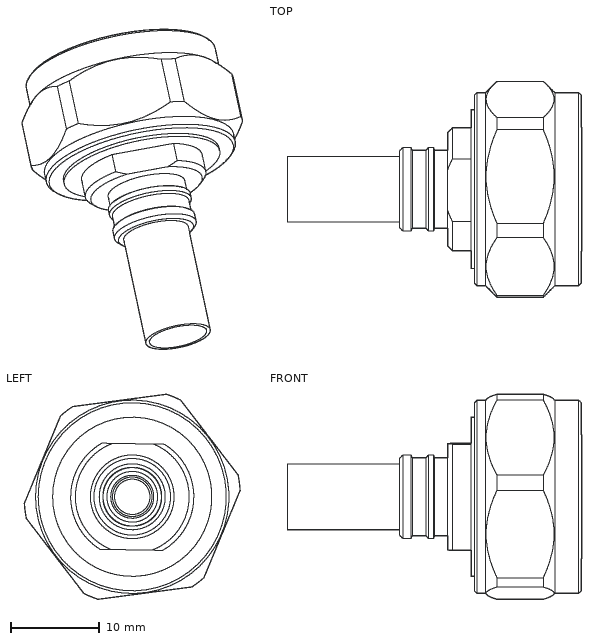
import cadquery as cq
import math

total_length = 33.4

neck_start = 12.7

tube_radius = 3.75
bore_radius = 3.3
tube_bore_depth = 4.0
inner_bore_radius = 3.37
bore_depth = neck_start

tip_radius = 2.87
tip_height = 1.0
tip_chamfer = 0.45
tip_hole_radius = 2.0
tip_hole_chamfer = 0.25

neck_radius = 4.45
ring_radius = 4.75
end_ring_chamfer = 0.4
end_ring_width = 1.47
end_ring_back_slope = 0.17
middle_ring_start = 15.73
middle_ring_width = 0.95
middle_ring_front_slope = 0.25
middle_ring_back_slope = 0.1

boss_start = 18.17
boss_radius = 6.98
boss_chamfer = 0.55
boss_flat_distance = 12.02
boss_tilt = 1.0

flange_start = 20.8
flange_radius = 9.02

nut_start = 21.18
nut_end = 33.3
collar_radius = 10.95
collar_chamfer = 0.3
hex_sides = 6
hex_start = 22.45
hex_end = 30.3
hex_across_flats = 22.05
hex_corner_radius = 12.25
hex_tilt = -7.5

core_radius = 7.0


def cylinder(start, end, radius):
    """Solid cylinder on the part axis between two X positions."""
    return cq.Workplane("YZ", origin=(start, 0, 0)).circle(radius).extrude(end - start)


def revolved(profile):
    """Solid turned about the X axis from (position, radius) points."""
    return cq.Workplane("XY").polyline(profile).close().revolve(360, (0, 0, 0), (1, 0, 0))


def make_ring(start, width, front_slope, back_slope, front_radius):
    """Raised ring with sloped front and back edges."""
    end = start + width
    return revolved([
        (start, 0),
        (start, front_radius),
        (start + front_slope, ring_radius),
        (end - back_slope, ring_radius),
        (end, neck_radius),
        (end, 0),
    ])


def make_neck():
    """Plain neck with a ring at its free end and another near its middle."""
    neck = cylinder(neck_start + end_ring_chamfer, boss_start, neck_radius)
    end_ring = make_ring(
        neck_start, end_ring_width, end_ring_chamfer, end_ring_back_slope, ring_radius - end_ring_chamfer
    )
    middle_ring = make_ring(
        middle_ring_start, middle_ring_width, middle_ring_front_slope, middle_ring_back_slope, neck_radius
    )
    return neck.union(end_ring).union(middle_ring)


def make_boss():
    """Round boss cut by two parallel wrench flats."""
    boss = cylinder(boss_start, flange_start, boss_radius).faces("<X").chamfer(boss_chamfer)
    flats = (
        cq.Workplane("YZ", origin=(boss_start, 0, 0))
        .rect(2 * boss_radius, boss_flat_distance)
        .extrude(flange_start - boss_start)
        .rotate((0, 0, 0), (1, 0, 0), boss_tilt)
    )
    return boss.intersect(flats)


def make_hexagon():
    """Hexagon whose corners are turned to a cylinder with 45 degree cones at both ends."""
    corner_diameter = hex_across_flats / math.cos(math.pi / hex_sides)
    prism = (
        cq.Workplane("YZ", origin=(hex_start, 0, 0))
        .polygon(hex_sides, corner_diameter)
        .extrude(hex_end - hex_start)
        .rotate((0, 0, 0), (1, 0, 0), hex_tilt)
    )
    turned_corners = cylinder(hex_start, hex_end, hex_corner_radius).faces("<X or >X").chamfer(
        hex_corner_radius - collar_radius
    )
    return prism.intersect(turned_corners)


def make_nut():
    """Chamfered collar with the hexagon around it."""
    collar = cylinder(nut_start, nut_end, collar_radius).faces("<X or >X").chamfer(collar_chamfer)
    return collar.union(make_hexagon())


def make_cavity():
    """Stepped bore, leaving the insulator tip standing on its floor."""
    tip_start = bore_depth - tip_height
    tip = cylinder(tip_start, bore_depth, tip_radius).faces("<X").chamfer(tip_chamfer)
    tip_hole = revolved([
        (tip_start, 0),
        (tip_start, tip_hole_radius + tip_hole_chamfer),
        (tip_start + tip_hole_chamfer, tip_hole_radius),
        (bore_depth, tip_hole_radius),
        (bore_depth, 0),
    ])
    bore = cylinder(0, tube_bore_depth, bore_radius).union(
        cylinder(tube_bore_depth, bore_depth, inner_bore_radius)
    )
    return bore.cut(tip.cut(tip_hole))


tube = cylinder(0, neck_start, tube_radius)
flange = cylinder(flange_start, nut_start, flange_radius)
core = cylinder(nut_end, total_length, core_radius)

result = (
    tube.union(make_neck())
    .union(make_boss())
    .union(flange)
    .union(make_nut())
    .union(core)
    .cut(make_cavity())
)